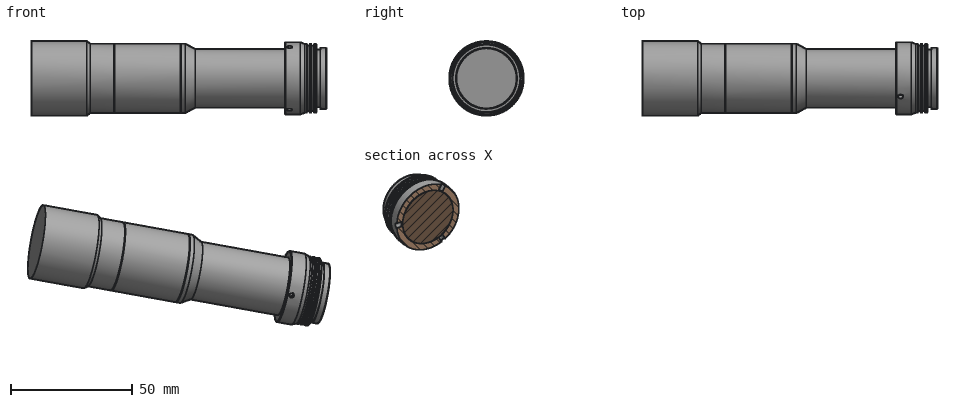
import cadquery as cq

TOTAL_LENGTH = 121.9

CAP_RADIUS = 15.5
CAP_CONE_START = 22.8
CAP_CONE_END = 24.3
CAP_END = 34.1

GRIP_RADIUS = 14.4
GRIP_END = 61.7
JOINT_CHAMFER = 0.18

BARREL_CONE_START = 63.6
BARREL_CONE_END = 67.7
BARREL_RADIUS = 12.2

COLLAR_START = 104.7
COLLAR_RADIUS = 15.0
COLLAR_CHAMFER = 0.3
COLLAR_CONE_START = 111.0
COLLAR_CONE_END = 112.9

FLANGE_RADIUS = 14.3
FLANGE_END = 117.9
FLANGE_CHAMFER = 0.4
GROOVE_CENTRES = (114.4, 116.2)
GROOVE_ROOT_RADIUS = 13.5
GROOVE_ROOT_WIDTH = 0.7
GROOVE_MOUTH_WIDTH = 1.3

NECK_RADIUS = 12.0
THREAD_START = 119.3
THREAD_RADIUS = 12.7
THREAD_CHAMFER = 0.3

SCREW_HOLE_X = 106.7
SCREW_HOLE_DIAMETER = 2.0
SCREW_HOLE_COUNT = 3
BARREL_SEAT_END = SCREW_HOLE_X + SCREW_HOLE_DIAMETER


def turned(outline):
    """Revolve (x, radius) points, closed along the axis, into a solid about X."""
    first_x = outline[0][0]
    last_x = outline[-1][0]
    points = [(first_x, 0), *outline, (last_x, 0)]
    return cq.Workplane("XY").polyline(points).close().revolve(360, (0, 0, 0), (1, 0, 0))


def make_front_cap():
    return turned([
        (0, CAP_RADIUS),
        (CAP_CONE_START, CAP_RADIUS),
        (CAP_CONE_END, GRIP_RADIUS),
        (CAP_END - JOINT_CHAMFER, GRIP_RADIUS),
        (CAP_END, GRIP_RADIUS - JOINT_CHAMFER),
    ])


def make_grip_sleeve():
    return turned([
        (CAP_END, GRIP_RADIUS - JOINT_CHAMFER),
        (CAP_END + JOINT_CHAMFER, GRIP_RADIUS),
        (GRIP_END - JOINT_CHAMFER, GRIP_RADIUS),
        (GRIP_END, GRIP_RADIUS - JOINT_CHAMFER),
    ])


def make_barrel():
    return turned([
        (GRIP_END, GRIP_RADIUS - JOINT_CHAMFER),
        (GRIP_END + JOINT_CHAMFER, GRIP_RADIUS),
        (BARREL_CONE_START, GRIP_RADIUS),
        (BARREL_CONE_END, BARREL_RADIUS),
        (BARREL_SEAT_END, BARREL_RADIUS),
    ])


def groove_outline(centre):
    """Points of one V-sided groove in the flange, from front to rear."""
    half_mouth = GROOVE_MOUTH_WIDTH / 2
    half_root = GROOVE_ROOT_WIDTH / 2
    return [
        (centre - half_mouth, FLANGE_RADIUS),
        (centre - half_root, GROOVE_ROOT_RADIUS),
        (centre + half_root, GROOVE_ROOT_RADIUS),
        (centre + half_mouth, FLANGE_RADIUS),
    ]


def make_screw_holes():
    """Radial cutters from the axis outwards, evenly spaced from the +Y one."""
    cutter = (
        cq.Workplane("XZ", origin=(SCREW_HOLE_X, 0, 0))
        .circle(SCREW_HOLE_DIAMETER / 2)
        .extrude(-COLLAR_RADIUS)
    )
    holes = cq.Workplane()
    for index in range(SCREW_HOLE_COUNT):
        angle = index * 360 / SCREW_HOLE_COUNT
        holes = holes.add(cutter.rotate((0, 0, 0), (1, 0, 0), angle))
    return holes.combine()


def make_mount():
    outline = [
        (COLLAR_START, COLLAR_RADIUS - COLLAR_CHAMFER),
        (COLLAR_START + COLLAR_CHAMFER, COLLAR_RADIUS),
        (COLLAR_CONE_START, COLLAR_RADIUS),
        (COLLAR_CONE_END, FLANGE_RADIUS),
    ]
    for centre in GROOVE_CENTRES:
        outline += groove_outline(centre)
    outline += [
        (FLANGE_END - FLANGE_CHAMFER, FLANGE_RADIUS),
        (FLANGE_END, FLANGE_RADIUS - FLANGE_CHAMFER),
        (FLANGE_END, NECK_RADIUS),
        (THREAD_START, NECK_RADIUS),
        (THREAD_START, THREAD_RADIUS),
        (TOTAL_LENGTH - THREAD_CHAMFER, THREAD_RADIUS),
        (TOTAL_LENGTH, THREAD_RADIUS - THREAD_CHAMFER),
    ]
    barrel_seat = turned([(COLLAR_START, BARREL_RADIUS), (BARREL_SEAT_END, BARREL_RADIUS)])
    return turned(outline).cut(barrel_seat).cut(make_screw_holes())


front_cap = make_front_cap()
grip_sleeve = make_grip_sleeve()
barrel = make_barrel()
mount = make_mount()

result = cq.Compound.makeCompound([
    front_cap.val(),
    grip_sleeve.val(),
    barrel.val(),
    mount.val(),
])